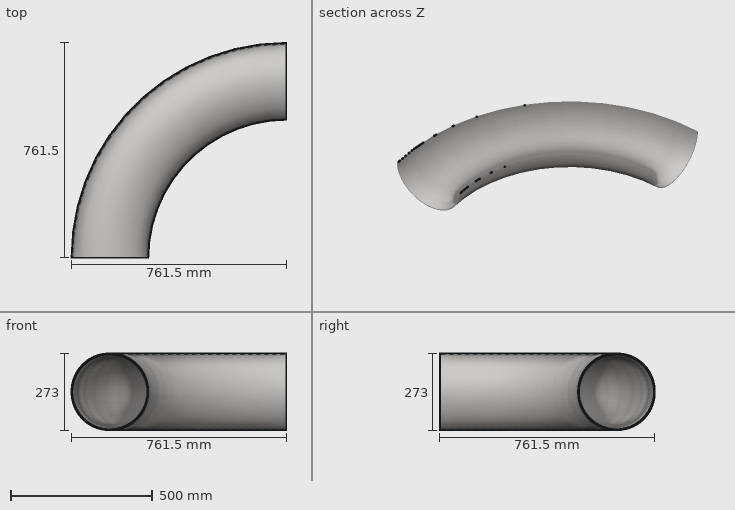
import cadquery as cq

outer_diameter = 273.0
wall_thickness = 4.0
bend_radius = 625.0
bend_angle = 90.0

inner_diameter = outer_diameter - 2 * wall_thickness


def make_elbow():
    """Revolve the pipe's ring section about the vertical bend axis.

    The open end facing -Y is centred on the origin. The pipe leaves it along +Y
    and curves towards +X, so the other open end faces +X.
    """
    ring = (
        cq.Workplane("XZ")
        .circle(outer_diameter / 2)
        .circle(inner_diameter / 2)
    )
    return ring.revolve(bend_angle, (bend_radius, 0), (bend_radius, -1))


result = make_elbow()